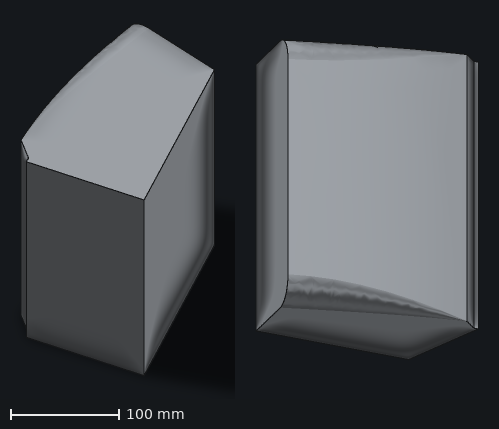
import cadquery as cq
import math

width = 132.5
length = 197.3
height = 257.2

step_width = 14.7
step_depth = 5.1
bevel_end = 22.0
far_edge_x = 34.0
short_side = 168.2

end_radius = 25.0
start_radius = 0.13
section_depth = 38.5
section_count = 9

arc_rise = length - bevel_end
arc_radius = (arc_rise**2 + far_edge_x**2) / (2 * far_edge_x)
arc_angle = math.asin(arc_rise / arc_radius)
slant_angle = math.atan((length - short_side) / (width - far_edge_x))


def strip_section(fraction):
    """Rounded cross-section at a fraction of the way along the curved side."""
    angle = fraction * arc_angle
    turn = fraction * slant_angle
    radius = start_radius + (end_radius - start_radius) * math.sin(fraction * math.pi / 2)
    plane = cq.Plane(
        origin=(
            arc_radius * (1 - math.cos(angle)),
            bevel_end + arc_radius * math.sin(angle),
            0,
        ),
        xDir=(math.cos(turn), -math.sin(turn), 0),
        normal=(-math.sin(turn), -math.cos(turn), 0),
    )
    corner_inset = radius * (1 - math.sqrt(0.5))
    half = height / 2
    return (
        cq.Workplane(plane)
        .moveTo(section_depth, -half)
        .lineTo(radius, -half)
        .threePointArc((corner_inset, -half + corner_inset), (0, -half + radius))
        .lineTo(0, half - radius)
        .threePointArc((corner_inset, half - corner_inset), (radius, half))
        .lineTo(section_depth, half)
        .close()
        .val()
    )


def rounded_strip():
    """Curved side with its growing edge rounding."""
    sections = [strip_section(i / (section_count - 1)) for i in range(section_count)]
    return cq.Workplane(cq.Solid.makeLoft(sections))


def core():
    """Straight-walled block behind the curved side, overlapping the strip."""
    inner_reach = (end_radius + section_depth) / 2
    inner_corner = (
        far_edge_x + inner_reach * math.cos(slant_angle),
        length - inner_reach * math.sin(slant_angle),
    )
    outline = [
        (step_width, 0),
        (width, 0),
        (width, short_side),
        inner_corner,
        (0, bevel_end),
        (step_width, step_depth),
    ]
    return cq.Workplane("XY").polyline(outline).close().extrude(height / 2, both=True)


result = core().union(rounded_strip()).clean()